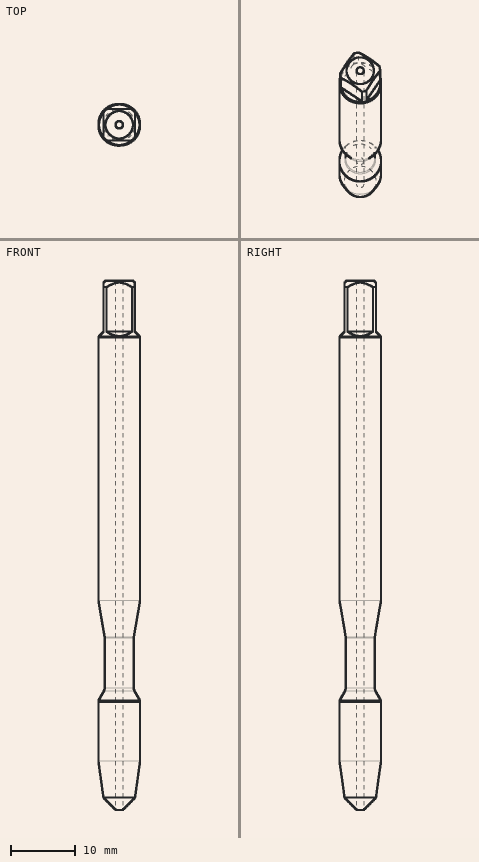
import cadquery as cq
import math

total_length = 81.66
bore_diameter = 1.1

head_diameter = 6.48
lead_small_diameter = 4.9
lead_top = 7.55
head_length = 16.66
nose_length = (lead_small_diameter - bore_diameter) / 2

shank_diameter = 6.47
neck_diameter = 4.51
neck_fillet = 1.0
neck_collar_length = 0.2
neck_bottom_angle = 30
neck_depth = (shank_diameter - neck_diameter) / 2
neck_bottom_cone = neck_depth / math.tan(math.radians(neck_bottom_angle))
neck_top = 26.6
neck_cone_top = 32.3

drive_diameter = 6.22
drive_square = 4.86
drive_cylinder_bottom = 73.0
drive_shoulder = (shank_diameter - drive_diameter) / 2
drive_flat_bottom = 73.8
drive_runout_angle = 45
drive_end_chamfer = 1.0


def make_head():
    """Cylindrical thread body with a conical lead and a 45 degree nose ending at the bore."""
    profile = (
        cq.Workplane("XZ")
        .moveTo(bore_diameter / 2, 0)
        .lineTo(lead_small_diameter / 2, nose_length)
        .lineTo(head_diameter / 2, lead_top)
        .lineTo(head_diameter / 2, head_length)
        .lineTo(bore_diameter / 2, head_length)
        .close()
    )
    return profile.revolve(360, (0, 0, 0), (0, 1, 0))


def make_turned_shank():
    """Shank before the drive flats are cut: collar, necked section, cylinder and drive end."""
    collar_top = head_length + neck_collar_length
    neck_bottom = collar_top + neck_bottom_cone
    profile = (
        cq.Workplane("XZ")
        .moveTo(bore_diameter / 2, head_length)
        .lineTo(shank_diameter / 2, head_length)
        .lineTo(shank_diameter / 2, collar_top)
        .lineTo(neck_diameter / 2, neck_bottom)
        .lineTo(neck_diameter / 2, neck_top)
        .lineTo(shank_diameter / 2, neck_cone_top)
        .lineTo(shank_diameter / 2, drive_cylinder_bottom - drive_shoulder)
        .lineTo(drive_diameter / 2, drive_cylinder_bottom)
        .lineTo(drive_diameter / 2, total_length - drive_end_chamfer)
        .lineTo(drive_diameter / 2 - drive_end_chamfer, total_length)
        .lineTo(bore_diameter / 2, total_length)
        .close()
    )
    turned = profile.revolve(360, (0, 0, 0), (0, 1, 0))
    neck_ends = cq.selectors.BoxSelector(
        (-shank_diameter, -shank_diameter, neck_bottom - neck_fillet / 2),
        (shank_diameter, shank_diameter, neck_top + neck_fillet / 2),
    )
    return turned.edges("%CIRCLE").edges(neck_ends).fillet(neck_fillet)


def make_flat_cutter():
    """Block that cuts one drive flat on the +X side and runs out at a slope below it."""
    inner = drive_square / 2
    outer = shank_diameter
    runout_length = (outer - inner) / math.tan(math.radians(drive_runout_angle))
    return (
        cq.Workplane("XZ")
        .moveTo(inner, total_length)
        .lineTo(inner, drive_flat_bottom)
        .lineTo(outer, drive_flat_bottom - runout_length)
        .lineTo(outer, total_length)
        .close()
        .extrude(shank_diameter, both=True)
    )


def make_shank():
    """Turned shank with four flats cut into its drive end."""
    shank = make_turned_shank()
    for angle in range(0, 360, 90):
        shank = shank.cut(make_flat_cutter().rotate((0, 0, 0), (0, 0, 1), angle))
    return shank


head = make_head()
shank = make_shank()

result = cq.Compound.makeCompound([head.val(), shank.val()])